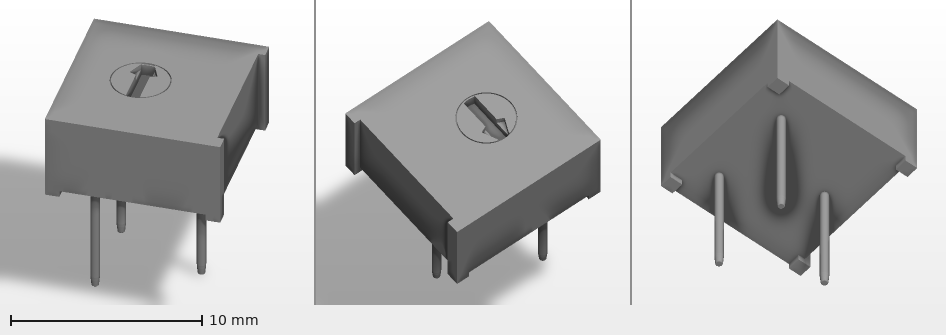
import cadquery as cq

side = 9.53
total_height = 11.68
body_height = 4.46
foot_height = 0.36
foot_width = 0.8
recess_depth = 0.37

rotor_x = -0.89
rotor_diameter = 3.11
gap_diameter = 3.25
gap_depth = 0.1
slot_width = 0.75
slot_depth = 0.75
arrow_depth = 0.34
arrow_tip_y = 1.41
barb_x = 0.76
barb_y = 0.57
arrow_root_y = 0.4

pin_diameter = 0.5
front_pin_x = -2.65
pin_pitch = 2.53
collar_start = 0.61
collar_end = 0.42
nose_diameter = 0.48
tip_diameter = 0.4
tip_chamfer = 0.04


def housing():
    """Square block with a foot under each corner and a recessed +X face."""
    height = body_height + foot_height
    block = cq.Workplane("XY").box(side, side, height, centered=(True, True, False))
    block = block.translate((0, 0, -height))
    span = side - 2 * foot_width
    for length_x, length_y in ((side, span), (span, side)):
        clearance = cq.Workplane("XY").workplane(offset=-height)
        clearance = clearance.rect(length_x, length_y).extrude(foot_height)
        block = block.cut(clearance)
    recess = cq.Workplane("XY").center(side / 2, 0).rect(2 * recess_depth, span).extrude(-height)
    return block.cut(recess)


def rotor_cuts():
    """Ring gap, screwdriver slot and the two halves of the arrow head."""
    face = cq.Workplane("XY").center(rotor_x, 0)
    gap = face.circle(gap_diameter / 2).circle(rotor_diameter / 2).extrude(-gap_depth)
    disc = face.circle(rotor_diameter / 2).extrude(-slot_depth)
    slot = face.rect(slot_width, rotor_diameter).extrude(-slot_depth).intersect(disc)
    arrow = (
        face.moveTo(slot_width / 2, arrow_tip_y)
        .lineTo(barb_x, barb_y)
        .lineTo(slot_width / 2, arrow_root_y)
        .lineTo(-slot_width / 2, arrow_root_y)
        .lineTo(-barb_x, barb_y)
        .lineTo(-slot_width / 2, arrow_tip_y)
        .close()
        .extrude(-arrow_depth)
    )
    return gap.union(slot).union(arrow)


def pin(x, y):
    """Round pin with a slightly narrowed collar and a tapered, chamfered nose."""
    tip_z = -total_height
    profile = (
        cq.Workplane("XZ")
        .moveTo(0, -body_height)
        .lineTo(pin_diameter / 2, -body_height)
        .lineTo(pin_diameter / 2, tip_z + collar_start)
        .lineTo(nose_diameter / 2, tip_z + collar_end)
        .lineTo(tip_diameter / 2, tip_z + tip_chamfer)
        .lineTo(tip_diameter / 2 - tip_chamfer, tip_z)
        .lineTo(0, tip_z)
        .close()
    )
    return profile.revolve(360, (0, 0, 0), (0, 1, 0)).translate((x, y, 0))


result = housing().cut(rotor_cuts())

pin_places = (
    (front_pin_x, -pin_pitch),
    (front_pin_x, pin_pitch),
    (front_pin_x + 2 * pin_pitch, 0),
)
for pin_x, pin_y in pin_places:
    result = result.union(pin(pin_x, pin_y))